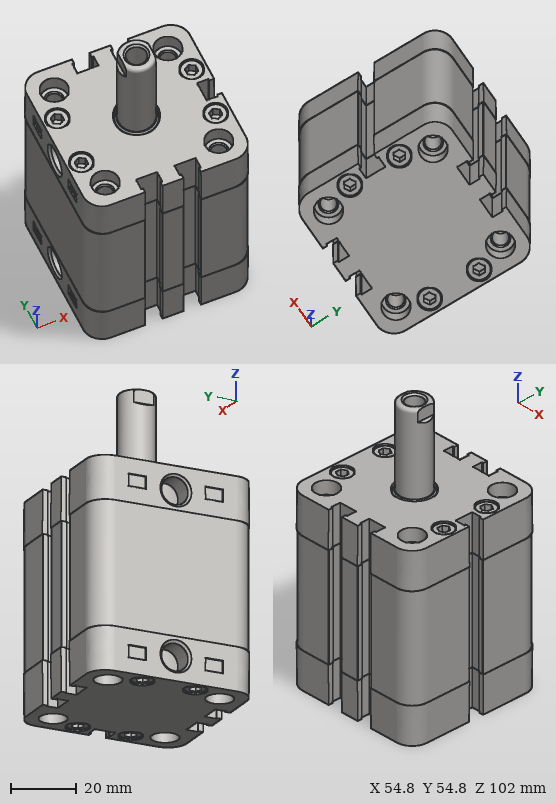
import cadquery as cq
import math

CAP_LENGTH = 14.5
BARREL_LENGTH = 41.0
BARREL_TOP = CAP_LENGTH + BARREL_LENGTH
TOTAL_LENGTH = 102.0

CAP_INNER_WIDTH = 54.8
CAP_OUTER_WIDTH = 54.5
BARREL_WIDTH = 54.6
CAP_CORNER_RADIUS = 6.5
BARREL_CORNER_RADIUS = 6.8

SLOT_OFFSET = 6.4
SLOT_MOUTH_WIDTH = 5.6
SLOT_FLOOR_WIDTH = 6.8
SLOT_LIP_FACE = 25.5
SLOT_FLOOR_FACE = 21.9
SLOT_LIP_CHAMFER = 0.2
CAP_SLOT_CLEARANCE = 0.1

MOUNT_OFFSET = 19.0
MOUNT_COUNTERBORE_DIAMETER = 9.0
MOUNT_COUNTERBORE_DEPTH = 5.1
MOUNT_HOLE_DIAMETER = 5.2
MOUNT_CHAMFER_DIAMETER = 6.1

SCREW_X = 22.4
SCREW_Y = 9.0
SCREW_RECESS_DIAMETER = 7.6
SCREW_HEAD_DIAMETER = 7.5
SCREW_RECESS_DEPTH = 0.8
SCREW_HEAD_HEIGHT = 0.4
SCREW_HEAD_CHAMFER = 0.3
HEX_ACROSS_FLATS = 3.6
HEX_DEPTH = 3.1

PORT_FROM_END = 8.0
PORT_DIAMETER = 9.0
PORT_CHAMFER_DIAMETER = 10.6
PORT_CORE_DIAMETER = 40.0

LABEL_WIDTH = 6.0
LABEL_HEIGHT = 4.1
LABEL_Y = 13.1
LABEL_FROM_END = 7.1
LABEL_DEPTH = 0.5

ROD_DIAMETER = 12.0
ROD_EDGE_RADIUS = 1.2
ROD_FLATS_WIDTH = 10.0
ROD_FLATS_LENGTH = 4.5
ROD_FLATS_RUNOUT = 0.7
ROD_BORE_DIAMETER = 6.6
ROD_BORE_CHAMFER_DIAMETER = 8.0
ROD_BORE_DEPTH = 15.3
DRILL_POINT_ANGLE = 118.0

WIPER_MOUTH_DIAMETER = 14.5
WIPER_FLOOR_OUTER_DIAMETER = 14.0
WIPER_FLOOR_INNER_DIAMETER = 13.7
WIPER_LIP_DIAMETER = 12.5
WIPER_DEPTH = 0.8


def rounded_square(width, radius):
    """Closed square sketch with rounded corners, centred on the axis."""
    return cq.Sketch().rect(width, width).vertices().fillet(radius)


def cut_all(body, cutters):
    """Cut every solid of a workplane from a body."""
    for cutter in cutters.vals():
        body = body.cut(cq.Workplane(cutter))
    return body


def at_every_slot(cutter):
    """Repeat a +X slot cutter: one on +X, two at the front and two at the back."""
    cutters = [cutter.val()]
    for angle in (90, -90):
        for offset in (-SLOT_OFFSET, SLOT_OFFSET):
            copy = cutter.translate((0, offset, 0)).rotate((0, 0, 0), (0, 0, 1), angle)
            cutters.append(copy.val())
    return cq.Workplane("XY").newObject(cutters)


def t_slots(length, clearance):
    """Cutters for the five T-slots."""
    outside = CAP_INNER_WIDTH
    mouth = SLOT_MOUTH_WIDTH / 2 + clearance
    floor = SLOT_FLOOR_WIDTH / 2 + clearance
    slot = (
        cq.Workplane("XY")
        .polyline([
            (outside, -mouth),
            (SLOT_LIP_FACE + clearance, -mouth),
            (SLOT_LIP_FACE + clearance, -floor),
            (SLOT_FLOOR_FACE - clearance, -floor),
            (SLOT_FLOOR_FACE - clearance, floor),
            (SLOT_LIP_FACE + clearance, floor),
            (SLOT_LIP_FACE + clearance, mouth),
            (outside, mouth),
        ])
        .close()
        .extrude(length)
    )
    return at_every_slot(slot)


def mouth_chamfers(length):
    """Cutters that bevel the mouth edges of the barrel slots."""
    face = BARREL_WIDTH / 2
    mouth = SLOT_MOUTH_WIDTH / 2
    bevel = (
        cq.Workplane("XY")
        .polyline([
            (face - SLOT_LIP_CHAMFER, -mouth),
            (face, -mouth - SLOT_LIP_CHAMFER),
            (face, mouth + SLOT_LIP_CHAMFER),
            (face - SLOT_LIP_CHAMFER, mouth),
        ])
        .close()
        .extrude(length)
    )
    return at_every_slot(bevel)


def mounting_holes():
    """Cutters for the counterbored corner holes, running through the cap."""
    centres = [(x, y) for x in (-MOUNT_OFFSET, MOUNT_OFFSET) for y in (-MOUNT_OFFSET, MOUNT_OFFSET)]
    step = CAP_LENGTH - MOUNT_COUNTERBORE_DEPTH
    chamfer = (MOUNT_CHAMFER_DIAMETER - MOUNT_HOLE_DIAMETER) / 2
    profile = (
        cq.Workplane("XZ")
        .polyline([
            (0, 0),
            (MOUNT_HOLE_DIAMETER / 2, 0),
            (MOUNT_HOLE_DIAMETER / 2, step - chamfer),
            (MOUNT_CHAMFER_DIAMETER / 2, step),
            (MOUNT_COUNTERBORE_DIAMETER / 2, step),
            (MOUNT_COUNTERBORE_DIAMETER / 2, CAP_LENGTH),
            (0, CAP_LENGTH),
        ])
        .close()
        .revolve(360, (0, 0, 0), (0, 1, 0))
    )
    return cq.Workplane("XY").pushPoints(centres).eachpoint(lambda at: profile.val().moved(at))


def add_screw_heads(cap):
    """Sink a recess into the end face for each screw and leave its bevelled socket head inside."""
    centres = [(x, y) for x in (-SCREW_X, SCREW_X) for y in (-SCREW_Y, SCREW_Y)]
    recess_floor = CAP_LENGTH - SCREW_RECESS_DEPTH
    recesses = (
        cq.Workplane("XY", origin=(0, 0, recess_floor))
        .pushPoints(centres)
        .circle(SCREW_RECESS_DIAMETER / 2)
        .extrude(SCREW_RECESS_DEPTH)
    )
    heads = (
        cq.Workplane("XY", origin=(0, 0, recess_floor))
        .pushPoints(centres)
        .circle(SCREW_HEAD_DIAMETER / 2)
        .extrude(SCREW_HEAD_HEIGHT)
        .faces(">Z")
        .chamfer(SCREW_HEAD_CHAMFER)
    )
    hex_across_corners = HEX_ACROSS_FLATS / math.cos(math.radians(30))
    socket = (
        cq.Workplane("XY", origin=(0, 0, recess_floor + SCREW_HEAD_HEIGHT))
        .polygon(6, hex_across_corners)
        .extrude(-HEX_DEPTH)
        .rotate((0, 0, 0), (0, 0, 1), 30)
    )
    sockets = cq.Workplane("XY").pushPoints(centres).eachpoint(lambda at: socket.val().moved(at))
    return cut_all(cap.cut(recesses).union(heads), sockets)


def air_port():
    """Cutter for the chamfered port on -X, ending on the round core of the cap."""
    centre_z = CAP_LENGTH - PORT_FROM_END
    draft = (CAP_INNER_WIDTH - CAP_OUTER_WIDTH) / 2
    wall = CAP_INNER_WIDTH / 2 - draft * centre_z / CAP_LENGTH
    chamfer = (PORT_CHAMFER_DIAMETER - PORT_DIAMETER) / 2
    bore = (
        cq.Workplane("YZ", origin=(-CAP_INNER_WIDTH / 2, 0, centre_z))
        .circle(PORT_DIAMETER / 2)
        .extrude(CAP_INNER_WIDTH / 2)
    )
    overrun = chamfer / 2
    countersink = cq.Solid.makeCone(
        PORT_CHAMFER_DIAMETER / 2 + overrun,
        PORT_DIAMETER / 2,
        chamfer + overrun,
        pnt=cq.Vector(-wall - overrun, 0, centre_z),
        dir=cq.Vector(1, 0, 0),
    )
    core = cq.Workplane("XY").circle(PORT_CORE_DIAMETER / 2).extrude(CAP_LENGTH)
    return bore.union(countersink).cut(core)


def label_pockets():
    """Cutters for the two rectangular label pockets on -X."""
    centre_z = CAP_LENGTH - LABEL_FROM_END
    floor = CAP_OUTER_WIDTH / 2 - LABEL_DEPTH
    return (
        cq.Workplane("YZ", origin=(-floor, 0, centre_z))
        .pushPoints([(-LABEL_Y, 0), (LABEL_Y, 0)])
        .rect(LABEL_WIDTH, LABEL_HEIGHT)
        .extrude(-2 * LABEL_DEPTH)
    )


def make_cap():
    """End cap standing on its joint face, with its free end up."""
    draft_angle = math.degrees(math.atan((CAP_INNER_WIDTH - CAP_OUTER_WIDTH) / 2 / CAP_LENGTH))
    cap = (
        cq.Workplane("XY")
        .placeSketch(rounded_square(CAP_INNER_WIDTH, CAP_CORNER_RADIUS))
        .extrude(CAP_LENGTH, taper=draft_angle)
    )
    cap = cut_all(cap, t_slots(CAP_LENGTH, CAP_SLOT_CLEARANCE))
    cap = cut_all(cap, mounting_holes())
    cap = add_screw_heads(cap)
    return cap.cut(air_port()).cut(label_pockets())


def make_top_cap():
    """Cap with the rod hole and the wiper groove around it."""
    wiper = (
        cq.Workplane("XZ")
        .polyline([
            (WIPER_LIP_DIAMETER / 2, CAP_LENGTH),
            (WIPER_FLOOR_INNER_DIAMETER / 2, CAP_LENGTH - WIPER_DEPTH),
            (WIPER_FLOOR_OUTER_DIAMETER / 2, CAP_LENGTH - WIPER_DEPTH),
            (WIPER_MOUTH_DIAMETER / 2, CAP_LENGTH),
        ])
        .close()
        .revolve(360, (0, 0, 0), (0, 1, 0))
    )
    rod_hole = cq.Workplane("XY").circle(ROD_DIAMETER / 2).extrude(CAP_LENGTH)
    return make_cap().cut(rod_hole).cut(wiper).translate((0, 0, BARREL_TOP))


def make_bottom_cap():
    """The same cap turned over about the X axis, without the rod hole."""
    return make_cap().rotate((0, 0, 0), (1, 0, 0), 180).translate((0, 0, CAP_LENGTH))


def make_barrel():
    """Slotted profile between the caps."""
    barrel = (
        cq.Workplane("XY")
        .placeSketch(rounded_square(BARREL_WIDTH, BARREL_CORNER_RADIUS))
        .extrude(BARREL_LENGTH)
    )
    barrel = cut_all(barrel, t_slots(BARREL_LENGTH, 0))
    barrel = cut_all(barrel, mouth_chamfers(BARREL_LENGTH))
    return barrel.translate((0, 0, CAP_LENGTH))


def make_rod():
    """Round rod seated on the barrel, with wrench flats and a drilled end."""
    rod = (
        cq.Workplane("XY", origin=(0, 0, BARREL_TOP))
        .circle(ROD_DIAMETER / 2)
        .extrude(TOTAL_LENGTH - BARREL_TOP)
        .faces(">Z")
        .edges()
        .fillet(ROD_EDGE_RADIUS)
    )

    flat_z = TOTAL_LENGTH - ROD_FLATS_LENGTH
    flat = (
        cq.Workplane("XZ")
        .polyline([
            (ROD_FLATS_WIDTH / 2, TOTAL_LENGTH),
            (ROD_FLATS_WIDTH / 2, flat_z),
            (ROD_DIAMETER / 2, flat_z - ROD_FLATS_RUNOUT),
            (ROD_DIAMETER / 2, TOTAL_LENGTH),
        ])
        .close()
        .extrude(ROD_DIAMETER / 2, both=True)
    )
    rod = rod.cut(flat).cut(flat.mirror("YZ"))

    bore_radius = ROD_BORE_DIAMETER / 2
    chamfer = ROD_BORE_CHAMFER_DIAMETER / 2 - bore_radius
    bore_floor = TOTAL_LENGTH - ROD_BORE_DEPTH
    point_depth = bore_radius / math.tan(math.radians(DRILL_POINT_ANGLE / 2))
    bore = (
        cq.Workplane("XZ")
        .polyline([
            (0, TOTAL_LENGTH),
            (bore_radius + chamfer, TOTAL_LENGTH),
            (bore_radius, TOTAL_LENGTH - chamfer),
            (bore_radius, bore_floor),
            (0, bore_floor - point_depth),
        ])
        .close()
        .revolve(360, (0, 0, 0), (0, 1, 0))
    )
    return rod.cut(bore)


top_cap = make_top_cap()
bottom_cap = make_bottom_cap()
barrel = make_barrel()
rod = make_rod()

result = cq.Compound.makeCompound([top_cap.val(), barrel.val(), bottom_cap.val(), rod.val()])